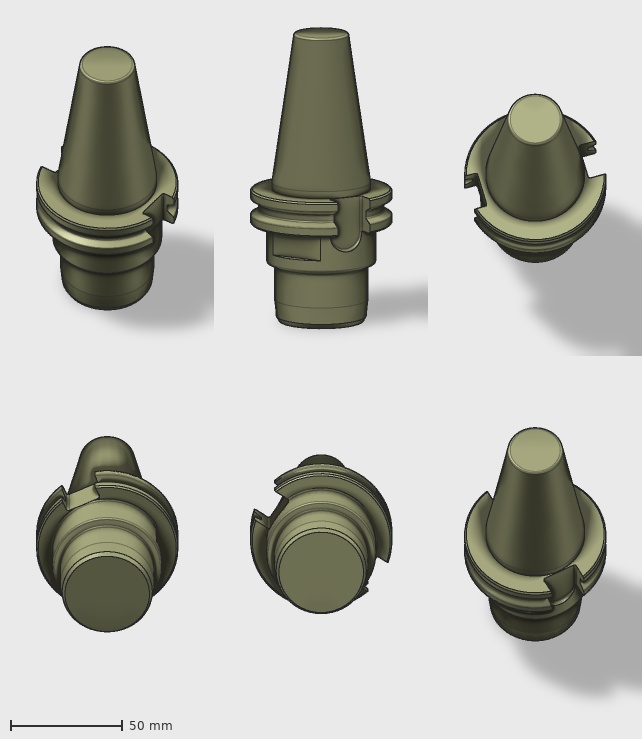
import cadquery as cq
import math


gauge_dia = 44.45
taper_per_length = 7 / 24
taper_length = 68.25
taper_end_fillet = 1.2

flange_dia = 63.5
flange_top_z = -3.18
flange_thickness = 15.87
flange_edge_chamfer = 0.75
groove_floor_dia = 56.2
groove_center_z = -11.1
groove_floor_width = 3.2
groove_half_angle = 30
groove_lip_fillet = 0.5
groove_floor_fillet = 0.8
flange_root_fillet = 0.8

body_dia = 49.0
nose_dia = 42.0
shoulder_bottom_z = -38.05
shoulder_angle = 22
shoulder_fillet = 1.0
nose_cone_top_z = -53.6
nose_cone_bottom_z = -61.3
nose_cone_end_dia = 40.5
nose_end_dia = 38.0
nose_length = 63.5

slot_width = 16.36
slot_floor_fillet = 1.0
slot_end_center_z = -19.55
deep_slot_floor_x = 22.6
shallow_slot_floor_x = 24.8

flat_azimuth = 120
flat_distance = 21.1
flat_bottom_z = -31.2

flange_bottom_z = flange_top_z - flange_thickness
taper_end_radius = (gauge_dia - taper_per_length * taper_length) / 2
flange_radius = flange_dia / 2
groove_floor_radius = groove_floor_dia / 2
groove_floor_half = groove_floor_width / 2
groove_depth = flange_radius - groove_floor_radius
groove_mouth_half = groove_floor_half + groove_depth * math.tan(math.radians(groove_half_angle))
body_radius = body_dia / 2
nose_radius = nose_dia / 2
shoulder_drop = (body_radius - nose_radius) * math.tan(math.radians(shoulder_angle))
shoulder_top_z = shoulder_bottom_z + shoulder_drop


def ring_edges(solid, rings):
    """Select the circular edges that pass through the given (radius, z) points."""
    margin = 0.01
    edges = solid.newObject([])
    for radius, z in rings:
        outer = radius + margin
        inner = radius - margin
        on_plane = solid.edges(
            cq.selectors.BoxSelector(
                (-outer, -outer, z - margin), (outer, outer, z + margin), boundingbox=True
            )
        )
        edges = edges.add(on_plane.filter(lambda edge: edge.BoundingBox().xmax > inner))
    return edges


def make_turned_body():
    """Revolve the shank, flange, body and nose, then round the turned edges."""
    outline = [
        (0, taper_length),
        (taper_end_radius, taper_length),
        (gauge_dia / 2, 0),
        (gauge_dia / 2, flange_top_z),
        (flange_radius - flange_edge_chamfer, flange_top_z),
        (flange_radius, flange_top_z - flange_edge_chamfer),
        (flange_radius, groove_center_z + groove_mouth_half),
        (groove_floor_radius, groove_center_z + groove_floor_half),
        (groove_floor_radius, groove_center_z - groove_floor_half),
        (flange_radius, groove_center_z - groove_mouth_half),
        (flange_radius, flange_bottom_z + flange_edge_chamfer),
        (flange_radius - flange_edge_chamfer, flange_bottom_z),
        (body_radius, flange_bottom_z),
        (body_radius, shoulder_top_z),
        (nose_radius, shoulder_bottom_z),
        (nose_radius, nose_cone_top_z),
        (nose_cone_end_dia / 2, nose_cone_bottom_z),
        (nose_end_dia / 2, -nose_length),
        (0, -nose_length),
    ]
    solid = cq.Workplane("XZ").polyline(outline).close().revolve(360, (0, 0), (0, 1))

    groove_lips = [
        (flange_radius, groove_center_z + groove_mouth_half),
        (flange_radius, groove_center_z - groove_mouth_half),
    ]
    groove_floor_rings = [
        (groove_floor_radius, groove_center_z + groove_floor_half),
        (groove_floor_radius, groove_center_z - groove_floor_half),
    ]
    shoulder_rings = [(body_radius, shoulder_top_z), (nose_radius, shoulder_bottom_z)]
    fillets = [
        ([(taper_end_radius, taper_length)], taper_end_fillet),
        (groove_lips, groove_lip_fillet),
        (groove_floor_rings, groove_floor_fillet),
        ([(body_radius, flange_bottom_z)], flange_root_fillet),
        (shoulder_rings, shoulder_fillet),
    ]
    for rings, radius in fillets:
        solid = ring_edges(solid, rings).fillet(radius)
    return solid


def make_drive_slot(floor_x):
    """Cutter for the +X slot: open at the top, round at the bottom, with a filleted floor."""
    half_width = slot_width / 2
    return (
        cq.Workplane("YZ", origin=(floor_x, 0, 0))
        .moveTo(-half_width, 0)
        .lineTo(-half_width, slot_end_center_z)
        .threePointArc((0, slot_end_center_z - half_width), (half_width, slot_end_center_z))
        .lineTo(half_width, 0)
        .close()
        .extrude(flange_radius)
        .faces("<X")
        .edges("not(>Z)")
        .fillet(slot_floor_fillet)
    )


def make_flat():
    """Cutter for the flat whose normal points along flat_azimuth."""
    return (
        cq.Workplane("XY", origin=(0, 0, flat_bottom_z))
        .box(body_dia, body_dia, flange_bottom_z - flat_bottom_z, centered=(False, True, False))
        .translate((flat_distance, 0, 0))
        .rotate((0, 0, 0), (0, 0, 1), flat_azimuth)
    )


result = make_turned_body()
result = result.cut(make_drive_slot(shallow_slot_floor_x))
result = result.cut(make_drive_slot(deep_slot_floor_x).rotate((0, 0, 0), (0, 0, 1), 180))
result = result.cut(make_flat())